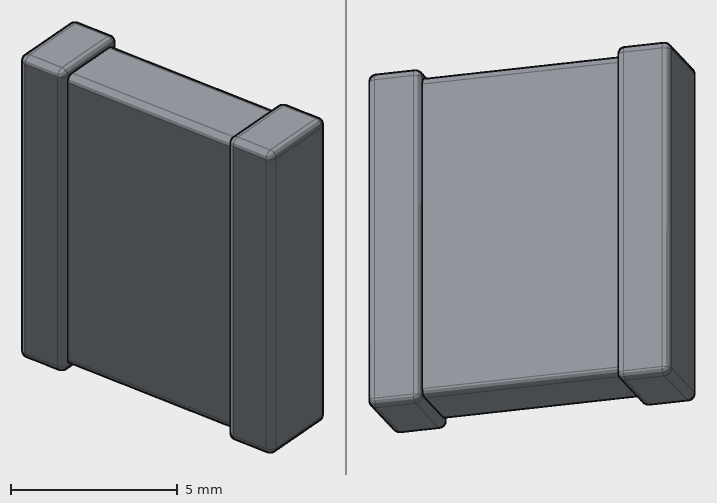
import cadquery as cq

length = 9.5
depth = 2.7
height = 10.6

cap_width = 1.66
cap_wall = 0.22
edge_radius = 0.22

body_length = length - 2 * cap_wall
body_depth = depth - 2 * cap_wall
body_height = height - 2 * cap_wall
cap_center = (length - cap_width) / 2


def make_body():
    """Ceramic block with its four long edges rounded."""
    block = cq.Workplane("XY").box(body_length, body_depth, body_height)
    return block.edges("|X").fillet(edge_radius)


def make_end_cap(side, body):
    """Rounded metal cap at one end, side -1 or +1, with a pocket that fits the body."""
    cap = cq.Workplane("XY").box(cap_width, depth, height).edges().fillet(edge_radius)
    return cap.translate((side * cap_center, 0, 0)).cut(body)


body = make_body()
end_caps = [make_end_cap(side, body) for side in (-1, 1)]

result = cq.Compound.makeCompound([body.val(), *[cap.val() for cap in end_caps]])